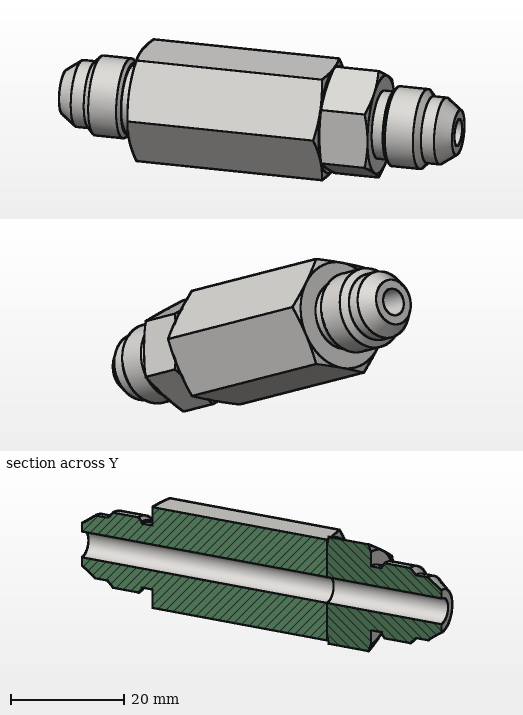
import cadquery as cq
import math

total_length = 72.35
body_hex_start = 14.2
joint_x = 49.35
adapter_hex_end = total_length - body_hex_start

body_hex_corners = 22.0
adapter_hex_corners = 20.2
body_chamfer_length = 0.5
adapter_joint_chamfer_length = 0.3
adapter_outer_chamfer_length = 0.5

bore_diameter = 4.8
tip_diameter = 8.0
nose_diameter = 11.95
neck_diameter = 12.15
thread_diameter = 14.25
thread_chamfer_diameter = 12.7
cone_length = 2.75
thread_chamfer_length = 0.65
shoulder_start = 5.15
shoulder_end = shoulder_start + (thread_diameter - nose_diameter) / 2
thread_end = 12.1


def revolve_about_x(profile):
    """Turn a closed (x, radius) outline around the X axis."""
    return cq.Workplane("XY").polyline(profile).close().revolve(360, (0, 0, 0), (1, 0, 0))


def flared_end(tip_x, inward):
    """Turned tube end; inward is +1 or -1, the X direction from the tip to its hexagon."""
    nose_radius = nose_diameter / 2
    thread_radius = thread_diameter / 2
    outline = [
        (0, 0),
        (0, tip_diameter / 2),
        (cone_length, nose_radius),
        (shoulder_start, nose_radius),
        (shoulder_end, thread_radius),
        (thread_end - thread_chamfer_length, thread_radius),
        (thread_end, thread_chamfer_diameter / 2),
        (thread_end, neck_diameter / 2),
        (body_hex_start, neck_diameter / 2),
        (body_hex_start, 0),
    ]
    return revolve_about_x([(tip_x + inward * x, radius) for x, radius in outline])


def chamfered_hexagon(start_x, end_x, corners, start_chamfer, end_chamfer, turn):
    """Hexagonal bar along X whose end corners are turned down to the inscribed circle."""
    corner_radius = corners / 2
    flat_radius = corner_radius * math.cos(math.pi / 6)
    bar = (
        cq.Workplane("YZ", origin=(start_x, 0, 0))
        .polygon(6, corners)
        .extrude(end_x - start_x)
        .rotate((0, 0, 0), (1, 0, 0), turn)
    )
    envelope = revolve_about_x([
        (start_x, 0),
        (start_x, flat_radius),
        (start_x + start_chamfer, corner_radius),
        (end_x - end_chamfer, corner_radius),
        (end_x, flat_radius),
        (end_x, 0),
    ])
    return bar.intersect(envelope)


def cut_bore(solid):
    """Cut the straight flow passage that runs the whole length of the coupling."""
    bore = cq.Workplane("YZ").circle(bore_diameter / 2).extrude(total_length)
    return solid.cut(bore)


def make_housing():
    """Long hexagonal body, corners on Y, with one flared end."""
    hexagon = chamfered_hexagon(
        body_hex_start, joint_x, body_hex_corners,
        body_chamfer_length, body_chamfer_length, turn=0,
    )
    return cut_bore(hexagon.union(flared_end(0, 1)))


def make_adapter():
    """Short hexagonal adapter, corners on Z, butted against the housing."""
    hexagon = chamfered_hexagon(
        joint_x, adapter_hex_end, adapter_hex_corners,
        adapter_joint_chamfer_length, adapter_outer_chamfer_length, turn=90,
    )
    return cut_bore(hexagon.union(flared_end(total_length, -1)))


housing = make_housing()
adapter = make_adapter()

result = cq.Compound.makeCompound([housing.solids().val(), adapter.solids().val()])